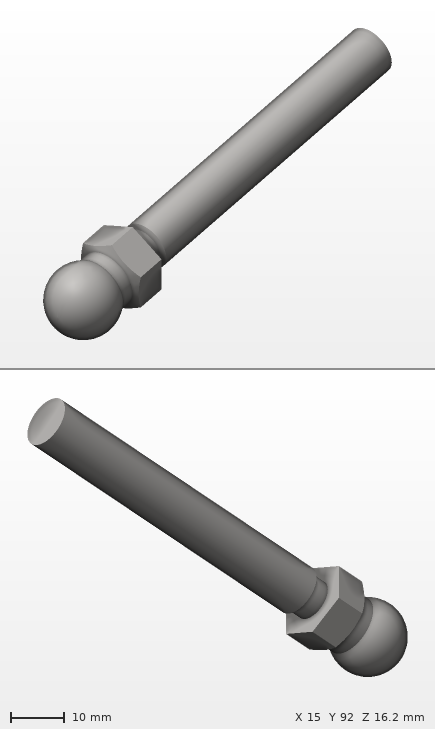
import cadquery as cq
import math

overall_length = 92.0
ball_diameter = 15.0
collar_diameter = 12.0
hex_across_flats = 14.0
neck_diameter = 8.1
shank_diameter = 10.0

hex_start_from_tip = 14.7
hex_end_from_tip = 22.0
taper_start_from_tip = 25.3

ball_radius = ball_diameter / 2
collar_radius = collar_diameter / 2
neck_radius = neck_diameter / 2
shank_radius = shank_diameter / 2
hex_corner_radius = hex_across_flats / math.sqrt(3)

ball_tip = -ball_radius
collar_start = math.sqrt(ball_radius**2 - collar_radius**2)
hex_start = ball_tip + hex_start_from_tip
hex_end = ball_tip + hex_end_from_tip
shank_taper_start = ball_tip + taper_start_from_tip
shank_end = ball_tip + overall_length

bevel_angle = math.radians(30)
shank_taper_length = (shank_radius - neck_radius) * math.tan(bevel_angle)
hex_bevel_length = (hex_corner_radius - collar_radius) * math.tan(bevel_angle)


def turn(profile):
    """Close a (Y, radius) half profile and revolve it around the Y axis."""
    return profile.close().revolve(360, (0, 0, 0), (1, 0, 0))


def make_turned_body():
    """Ball, collar, neck and shank as one revolved profile."""
    profile = (
        cq.Workplane("YZ")
        .moveTo(ball_tip, 0)
        .threePointArc((0, ball_radius), (collar_start, collar_radius))
        .lineTo(hex_end, collar_radius)
        .lineTo(hex_end, neck_radius)
        .lineTo(shank_taper_start, neck_radius)
        .lineTo(shank_taper_start + shank_taper_length, shank_radius)
        .lineTo(shank_end, shank_radius)
        .lineTo(shank_end, 0)
    )
    return turn(profile)


def make_hex():
    """Wrench hexagon with corners at +Z and -Z, bevelled on the ball side."""
    prism = (
        cq.Workplane("XZ", origin=(0, hex_end, 0))
        .transformed(rotate=(0, 0, 90))
        .polygon(6, 2 * hex_corner_radius)
        .extrude(hex_end - hex_start)
    )
    bevel_envelope = turn(
        cq.Workplane("YZ")
        .moveTo(hex_start, 0)
        .lineTo(hex_start, collar_radius)
        .lineTo(hex_start + hex_bevel_length, hex_corner_radius)
        .lineTo(hex_end, hex_corner_radius)
        .lineTo(hex_end, 0)
    )
    return prism.intersect(bevel_envelope)


result = make_turned_body().union(make_hex())